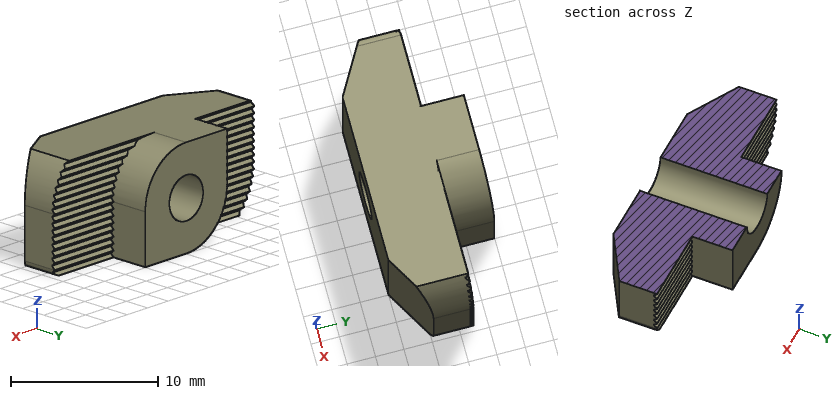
import cadquery as cq
import math

bar_length = 19.5
bar_height = 8.0
bar_depth = 5.0
front_flat_length = 12.0
bevel_angle = 30.0
small_corner_radius = 0.5
large_corner_radius = 5.0
large_arc_start = 0.5

boss_width = bar_height
boss_depth = 3.0
boss_corner_radius = boss_width / 2

hole_diameter = 3.3

groove_pitch = 0.5
groove_depth = groove_pitch / 2

half_length = bar_length / 2
half_height = bar_height / 2
total_depth = bar_depth + boss_depth


def extrude_back(sketch, depth):
    """Extrude an XZ sketch from its plane toward +Y."""
    return sketch.extrude(-depth)


def bar_outline():
    """Outline in XZ, unchanged by a half turn about the hole axis."""
    arc_center_x = half_length - large_corner_radius
    arc_rise = half_height - large_arc_start
    arc_end_x = arc_center_x + math.sqrt(large_corner_radius**2 - arc_rise**2)
    small_x = half_length - small_corner_radius
    small_z = half_height - small_corner_radius
    return (
        cq.Workplane("XZ")
        .moveTo(-small_x, half_height)
        .lineTo(arc_end_x, half_height)
        .radiusArc((half_length, large_arc_start), large_corner_radius)
        .lineTo(half_length, -small_z)
        .radiusArc((small_x, -half_height), small_corner_radius)
        .lineTo(-arc_end_x, -half_height)
        .radiusArc((-half_length, -large_arc_start), large_corner_radius)
        .lineTo(-half_length, small_z)
        .radiusArc((-small_x, half_height), small_corner_radius)
        .close()
    )


def bevel_profile():
    """Plan shape in XY with the two front corners bevelled."""
    half_flat = front_flat_length / 2
    bevel_depth = (half_length - half_flat) * math.tan(math.radians(bevel_angle))
    return (
        cq.Workplane("XY")
        .polyline([
            (-half_flat, 0),
            (half_flat, 0),
            (half_length, bevel_depth),
            (half_length, bar_depth),
            (-half_length, bar_depth),
            (-half_length, bevel_depth),
        ])
        .close()
        .extrude(half_height, both=True)
    )


def make_bar():
    return extrude_back(bar_outline(), bar_depth).intersect(bevel_profile())


def make_grooves():
    """V grooves side by side over the full height of the shoulder face."""
    groove_count = round(bar_height / groove_pitch)
    profile = cq.Workplane("YZ", origin=(-half_length, 0, 0)).moveTo(bar_depth, -half_height)
    for index in range(groove_count):
        groove_bottom = -half_height + index * groove_pitch
        profile = profile.lineTo(bar_depth - groove_depth, groove_bottom + groove_pitch / 2)
        profile = profile.lineTo(bar_depth, groove_bottom + groove_pitch)
    profile = profile.lineTo(total_depth, half_height).lineTo(total_depth, -half_height).close()
    return profile.extrude(bar_length)


def make_boss():
    """Boss rooted at the groove bottoms, so that it fills the grooves beneath it."""
    half_width = boss_width / 2
    flat_end = half_width - boss_corner_radius
    outline = (
        cq.Workplane("XZ", origin=(0, bar_depth - groove_depth, 0))
        .moveTo(-half_width, half_height)
        .lineTo(flat_end, half_height)
        .radiusArc((half_width, flat_end), boss_corner_radius)
        .lineTo(half_width, -half_height)
        .lineTo(-flat_end, -half_height)
        .radiusArc((-half_width, -flat_end), boss_corner_radius)
        .close()
    )
    return extrude_back(outline, boss_depth + groove_depth)


def make_hole():
    return extrude_back(cq.Workplane("XZ").circle(hole_diameter / 2), total_depth)


result = make_bar().cut(make_grooves()).union(make_boss()).cut(make_hole())